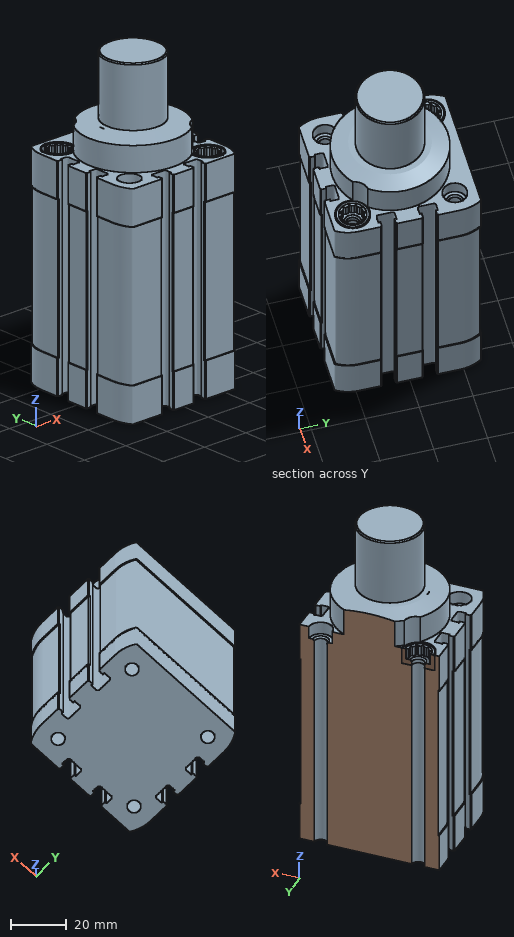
import cadquery as cq
import math

TOTAL_HEIGHT = 130.0
HOUSING_HEIGHT = 91.4
CAP_HEIGHT = 15.0
MIDDLE_HEIGHT = HOUSING_HEIGHT - 2 * CAP_HEIGHT

HALF_WIDTH = 54.5 / 2
MIDDLE_INSET = 0.4
FLAT_HALF_LENGTH = 18.8
CORNER_RADIUS = 15.3
CORNER_FILLET = 0.8

SLOT_OFFSET = 7.7
SLOT_MOUTH_WIDTH = 5.2
SLOT_WIDTH = 6.8
SLOT_DEPTH = 5.5
SLOT_LIP_DEPTH = 2.2
SLOT_MOUTH_FILLET = 0.4
SLOT_FLOOR_FILLET = 0.8
SLOT_SIDE_ANGLES = (0, 90, -90)
CUT_MARGIN = 1.3

COLLAR_DIAMETER = 43.0
COLLAR_TOP_DIAMETER = 30.0
COLLAR_CONE_HEIGHT = 2.1
COLLAR_TOP = 104.0
ROD_DIAMETER = 25.0
ROD_CHAMFER = 0.5

HOLE_OFFSET = 19.0
HOLE_DIAMETER = 5.0
HOLE_MOUTH_DIAMETER = 6.2
COUNTERBORE_DIAMETER = 9.0
COUNTERBORE_DEPTH = 5.0
COUNTERBORE_CORNERS = [(-HOLE_OFFSET, -HOLE_OFFSET), (HOLE_OFFSET, HOLE_OFFSET)]

SCREW_DIAMETER = 12.7
SCREW_HEIGHT = 6.5
SCREW_CHAMFER = 0.4
SOCKET_MOUTH_DIAMETER = 10.1
COUNTERSINK_DEPTH = 0.4
SOCKET_DIAMETER = 8.3
SOCKET_TIP_DIAMETER = 9.4
SOCKET_POINTS = 12
SOCKET_DEPTH = 4.3
SCREW_CORNERS = [(-HOLE_OFFSET, HOLE_OFFSET), (HOLE_OFFSET, -HOLE_OFFSET)]


def cylinder(diameter, bottom, top, centre=(0, 0)):
    """Upright cylinder between two heights."""
    return cq.Workplane("XY", origin=(*centre, bottom)).circle(diameter / 2).extrude(top - bottom)


def cone(bottom_diameter, top_diameter, bottom, top, centre=(0, 0)):
    """Upright cone frustum between two heights."""
    solid = cq.Solid.makeCone(bottom_diameter / 2, top_diameter / 2, top - bottom, cq.Vector(*centre, bottom))
    return cq.Workplane(solid)


def housing_section(inset, bottom, height):
    """Slotted length of the housing with its outer faces moved in by the inset."""
    half = HALF_WIDTH - inset
    radius = CORNER_RADIUS - inset
    centre_x = half - radius

    def on_arc(y):
        return centre_x + math.sqrt(radius**2 - (y - FLAT_HALF_LENGTH) ** 2)

    end_x = on_arc(half)
    middle_y = (half + FLAT_HALF_LENGTH) / 2
    middle_x = on_arc(middle_y)
    section = (
        cq.Workplane("XY", origin=(0, 0, bottom))
        .moveTo(half, -FLAT_HALF_LENGTH)
        .lineTo(half, FLAT_HALF_LENGTH)
        .threePointArc((middle_x, middle_y), (end_x, half))
        .lineTo(-end_x, half)
        .threePointArc((-middle_x, middle_y), (-half, FLAT_HALF_LENGTH))
        .lineTo(-half, -FLAT_HALF_LENGTH)
        .threePointArc((-middle_x, -middle_y), (-end_x, -half))
        .lineTo(end_x, -half)
        .threePointArc((middle_x, -middle_y), (half, -FLAT_HALF_LENGTH))
        .close()
        .extrude(height)
    )
    section = section.edges("|Z and (>Y or <Y)").fillet(CORNER_FILLET)
    for angle in SLOT_SIDE_ANGLES:
        for offset in (-SLOT_OFFSET, SLOT_OFFSET):
            cutter = slot_cutter(offset, half, bottom, height)
            section = section.cut(cutter.rotate((0, 0, 0), (0, 0, 1), angle))
    return section


def slot_cutter(offset, face, bottom, height):
    """T-shaped slot in the -Y face, with a rounded mouth and rounded floor corners."""
    floor_y = -HALF_WIDTH + SLOT_DEPTH
    lip_y = -HALF_WIDTH + SLOT_LIP_DEPTH
    mouth = SLOT_MOUTH_WIDTH / 2
    wide = SLOT_WIDTH / 2
    flare = mouth + SLOT_MOUTH_FILLET
    return (
        cq.Workplane("XY", origin=(offset, 0, bottom))
        .moveTo(-flare, -face - CUT_MARGIN)
        .lineTo(-flare, -face)
        .radiusArc((-mouth, -face + SLOT_MOUTH_FILLET), SLOT_MOUTH_FILLET)
        .lineTo(-mouth, lip_y)
        .lineTo(-wide, lip_y)
        .lineTo(-wide, floor_y - SLOT_FLOOR_FILLET)
        .radiusArc((-wide + SLOT_FLOOR_FILLET, floor_y), SLOT_FLOOR_FILLET)
        .lineTo(wide - SLOT_FLOOR_FILLET, floor_y)
        .radiusArc((wide, floor_y - SLOT_FLOOR_FILLET), SLOT_FLOOR_FILLET)
        .lineTo(wide, lip_y)
        .lineTo(mouth, lip_y)
        .lineTo(mouth, -face + SLOT_MOUTH_FILLET)
        .radiusArc((flare, -face), SLOT_MOUTH_FILLET)
        .lineTo(flare, -face - CUT_MARGIN)
        .close()
        .extrude(height)
    )


def chamfered_hole(centre, bottom, top):
    """Through hole with a 45 degree chamfer at its top."""
    chamfer = (HOLE_MOUTH_DIAMETER - HOLE_DIAMETER) / 2
    hole = cylinder(HOLE_DIAMETER, bottom, top, centre)
    return hole.union(cone(HOLE_DIAMETER, HOLE_MOUTH_DIAMETER, top - chamfer, top, centre))


def build_housing():
    """Housing with end caps, collar and stop rod in one piece."""
    upper_cap = HOUSING_HEIGHT - CAP_HEIGHT
    housing = (
        housing_section(0, 0, CAP_HEIGHT)
        .union(housing_section(MIDDLE_INSET, CAP_HEIGHT, MIDDLE_HEIGHT))
        .union(housing_section(0, upper_cap, CAP_HEIGHT))
    )

    cone_base = COLLAR_TOP - COLLAR_CONE_HEIGHT
    housing = housing.union(cylinder(COLLAR_DIAMETER, HOUSING_HEIGHT, cone_base))
    housing = housing.union(cone(COLLAR_DIAMETER, COLLAR_TOP_DIAMETER, cone_base, COLLAR_TOP))
    rod = cylinder(ROD_DIAMETER, COLLAR_TOP, TOTAL_HEIGHT).faces(">Z").chamfer(ROD_CHAMFER)
    housing = housing.union(rod).clean()

    counterbore_floor = HOUSING_HEIGHT - COUNTERBORE_DEPTH
    for corner in COUNTERBORE_CORNERS:
        housing = housing.cut(cylinder(COUNTERBORE_DIAMETER, counterbore_floor, COLLAR_TOP, corner))
        housing = housing.cut(chamfered_hole(corner, 0, counterbore_floor))

    for corner in SCREW_CORNERS:
        housing = housing.cut(cylinder(SCREW_DIAMETER, HOUSING_HEIGHT - SCREW_HEIGHT, COLLAR_TOP, corner))
        housing = housing.cut(cylinder(HOLE_DIAMETER, 0, HOUSING_HEIGHT, corner))
    return housing


def socket_point(floor):
    """Right-angled wedge along +X that forms one groove of a socket on the Z axis."""
    tip = SOCKET_TIP_DIAMETER / 2
    half_width = SOCKET_TIP_DIAMETER - SOCKET_DIAMETER
    return (
        cq.Workplane("XY", origin=(0, 0, floor))
        .polyline([(tip, 0), (tip - half_width, half_width), (tip - half_width, -half_width)])
        .close()
        .extrude(SOCKET_DEPTH)
    )


def build_screw(centre):
    """Hollow screw with a countersunk multi-point socket, flush with the housing."""
    bottom = HOUSING_HEIGHT - SCREW_HEIGHT
    floor = HOUSING_HEIGHT - SOCKET_DEPTH
    screw = cylinder(SCREW_DIAMETER, bottom, HOUSING_HEIGHT, centre).faces(">Z").chamfer(SCREW_CHAMFER)

    socket = cylinder(SOCKET_DIAMETER, floor, HOUSING_HEIGHT, centre)
    for i in range(SOCKET_POINTS):
        point = socket_point(floor).rotate((0, 0, 0), (0, 0, 1), i * 360 / SOCKET_POINTS)
        socket = socket.union(point.translate((*centre, 0)))

    countersink = cone(
        SOCKET_DIAMETER, SOCKET_MOUTH_DIAMETER, HOUSING_HEIGHT - COUNTERSINK_DEPTH, HOUSING_HEIGHT, centre
    )
    return screw.cut(socket).cut(countersink).cut(chamfered_hole(centre, bottom, floor))


housing = build_housing()
screws = [build_screw(corner) for corner in SCREW_CORNERS]

result = cq.Compound.makeCompound([housing.val(), *[screw.val() for screw in screws]])